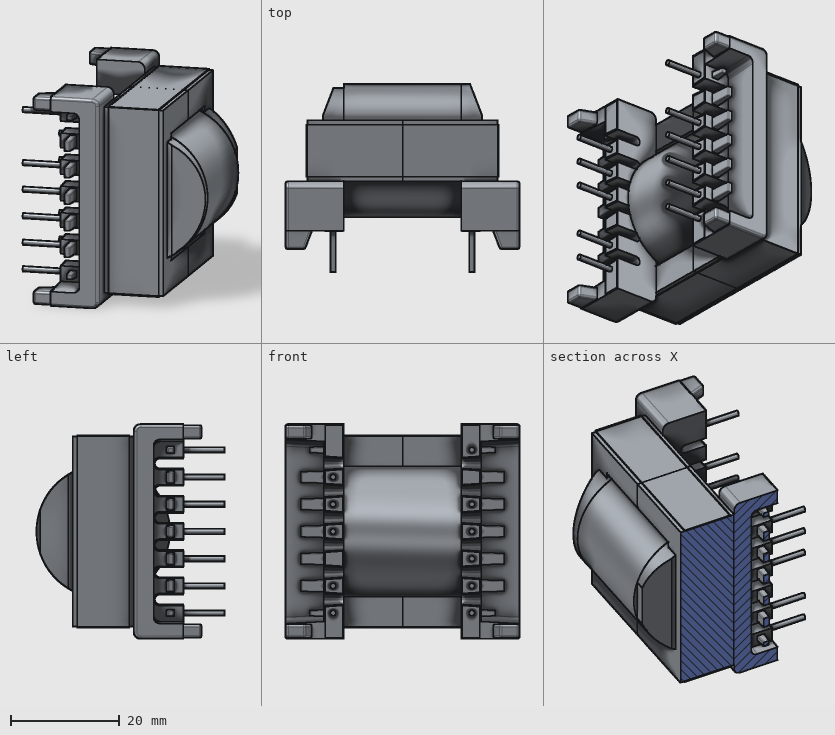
import cadquery as cq
import math


core_half_length = 17.55
core_half_depth = 5.6
core_window_depth = 11.85
core_window_radius = 13.25

tape_thickness = 0.17
tape_half_width = 4.8

winding_radius = 12.3
winding_half_length = 10.8
tube_radius = 6.48

crown_outer_x = 14.7
crown_slope_y = 6.48
crown_tip_x = 12.45
left_crown_height = 11.57

rail_half_width = 21.6
rail_half_height = 39.6 / 2
rail_tip_y = -14.75
rail_corner_radius = 1.3
rail_edge_radius = 0.55
pocket_floor_y = -9.3
pocket_half_height = 16.95
pocket_inner_half_height = 16.6
pocket_corner_radius = 1.2
terminal_outer_x = 14.45

pitch = 5.0
end_index = 3
terminal_indices = range(-end_index, end_index + 1)
slot_width = 2.25
slot_taper = 3.5
pad_height = 0.1
pad_inset = 0.2

guide_y = -12.4
guide_base_depth = 1.45
guide_tip_depth = 1.05
guide_taper = 0.25
guide_edge_radius = 0.17
long_guide_length = 4.27
long_guide_height = 2.25
short_guide_length = 2.65
short_guide_height = 1.25

foot_tip_y = -18.15
foot_root_x = 16.65
foot_outer_x = 21.55
foot_tip_x = 17.95
foot_top_z = 19.6
foot_bottom_z = 17.05
foot_edge_radius = 0.47

pin_radius = 0.5
pin_x = 12.8
overall_depth = 34.67
pin_tip_y = winding_radius - overall_depth
left_pin_indices = (-3, -2, 0, 1, 2)
right_pin_indices = (-3, -2, -1, 0, 1, 3)


def box(x_range, y_range, z_range):
    """Box between two limits along each axis."""
    sizes = [high - low for low, high in (x_range, y_range, z_range)]
    corner = (x_range[0], y_range[0], z_range[0])
    return cq.Workplane("XY").box(*sizes, centered=False).translate(corner)


def disc(radius, x_start, x_end):
    """Round bar along the winding axis."""
    return cq.Workplane("YZ", origin=(x_start, 0, 0)).circle(radius).extrude(x_end - x_start)


def prism_along_y(points, y_start, y_end):
    """Prism with an XZ outline, from y_start down to y_end."""
    return cq.Workplane("XZ", origin=(0, y_start, 0)).polyline(points).close().extrude(y_start - y_end)


def mirror_x(shape):
    return shape.mirror("YZ")


def make_core_half():
    """Right E half: back, two outer legs and a round centre post."""
    half = box(
        (0, core_half_length),
        (-core_half_depth, core_half_depth),
        (-core_half_length, core_half_length),
    )
    window = disc(core_window_radius, 0, core_window_depth).cut(disc(core_half_depth, 0, core_window_depth))
    return half.cut(window)


def make_tape():
    """Closed band around the four outer faces of the core."""
    outer = 2 * (core_half_length + tape_thickness)
    inner = 2 * core_half_length
    return (
        cq.Workplane("XZ", origin=(0, tape_half_width, 0))
        .rect(outer, outer)
        .rect(inner, inner)
        .extrude(2 * tape_half_width)
    )


def make_winding():
    return disc(winding_radius, -winding_half_length, winding_half_length).cut(
        disc(tube_radius, -winding_half_length, winding_half_length)
    )


def make_flange(crown_height):
    """Disc in the core window, with a sloped crown overhanging the core's rear face."""
    window_part = disc(winding_radius, winding_half_length, core_window_depth).intersect(
        box(
            (winding_half_length, core_window_depth),
            (-core_half_depth, crown_height),
            (-winding_radius, winding_radius),
        )
    )
    slope = (crown_outer_x - crown_tip_x) / (winding_radius - crown_slope_y)
    crown_top_x = crown_outer_x - slope * (crown_height - crown_slope_y)
    crown_profile = (
        cq.Workplane("XY", origin=(0, 0, -winding_radius))
        .polyline([
            (winding_half_length, core_half_depth),
            (crown_outer_x, core_half_depth),
            (crown_outer_x, crown_slope_y),
            (crown_top_x, crown_height),
            (winding_half_length, crown_height),
        ])
        .close()
        .extrude(2 * winding_radius)
    )
    crown = crown_profile.intersect(disc(winding_radius, winding_half_length, crown_outer_x))
    return window_part.union(crown)


def make_rail_block():
    """Solid block with rounded rear corners and a rounded outer edge."""
    block = box(
        (winding_half_length, rail_half_width),
        (rail_tip_y, -core_half_depth),
        (-rail_half_height, rail_half_height),
    )
    block = block.edges("|X and >Y").fillet(rail_corner_radius)
    outer_edges = block.faces(">X").edges("not(<Y)")
    return block.newObject(outer_edges.vals()).fillet(rail_edge_radius)


def make_pocket():
    """Recess in the outer side of the rail, tapering in towards the terminal row."""
    pocket = prism_along_y(
        [
            (terminal_outer_x, -pocket_inner_half_height),
            (rail_half_width, -pocket_half_height),
            (rail_half_width, pocket_half_height),
            (terminal_outer_x, pocket_inner_half_height),
        ],
        pocket_floor_y,
        rail_tip_y,
    )
    long_floor_edges = pocket.faces(">Y").edges("not(|Z)")
    return pocket.newObject(long_floor_edges.vals()).fillet(pocket_corner_radius)


def make_slot(z):
    """Round-ended wire slot between two terminals, narrowing towards the winding."""
    length = 2 * (pocket_floor_y - rail_tip_y)
    return (
        cq.Workplane("YZ", origin=(terminal_outer_x, rail_tip_y, z))
        .slot2D(length, slot_width)
        .extrude(winding_half_length - terminal_outer_x, taper=slot_taper)
    )


def make_pad(index):
    """Thin raised pad on the tip of a terminal; the end pads reach along the rail end."""
    taper_shift = (terminal_outer_x - winding_half_length) * math.tan(math.radians(slot_taper))
    outer_half = (pitch - slot_width) / 2 - pad_inset
    inner_half = outer_half + taper_shift
    x_in = winding_half_length + pad_inset
    x_out = terminal_outer_x - pad_inset
    z = abs(index) * pitch
    inner_top = z + inner_half
    outer_top = z + outer_half
    if abs(index) == end_index:
        inner_top = rail_half_height - pad_inset
        outer_top = inner_top
    pad = prism_along_y(
        [(x_in, z - inner_half), (x_out, z - outer_half), (x_out, outer_top), (x_in, inner_top)],
        rail_tip_y,
        rail_tip_y - pad_height,
    )
    return pad if index >= 0 else pad.mirror("XY")


def make_guide(index):
    """Tapered wire guide, rounded along its sides and tip."""
    at_end = abs(index) == end_index
    length = short_guide_length if at_end else long_guide_length
    height = short_guide_height if at_end else long_guide_height
    guide = (
        cq.Workplane("YZ", origin=(terminal_outer_x, guide_y, index * pitch))
        .rect(guide_base_depth, height)
        .workplane(offset=length)
        .rect(guide_tip_depth, height - guide_taper)
        .loft(ruled=True)
    )
    return guide.edges("not(<X)").fillet(guide_edge_radius)


def make_foot():
    """Foot at the upper end of the rail, sloped on its inner side and rounded all round."""
    foot = (
        cq.Workplane("XY", origin=(0, 0, foot_bottom_z))
        .polyline([
            (foot_root_x, rail_tip_y),
            (foot_outer_x, rail_tip_y),
            (foot_outer_x, foot_tip_y),
            (foot_tip_x, foot_tip_y),
        ])
        .close()
        .extrude(foot_top_z - foot_bottom_z)
    )
    return foot.edges("not(>Y)").fillet(foot_edge_radius)


def make_pin(index):
    return (
        cq.Workplane("XZ", origin=(pin_x, rail_tip_y, index * pitch))
        .circle(pin_radius)
        .extrude(rail_tip_y - pin_tip_y)
    )


def make_bobbin_side(crown_height, pin_indices):
    """Right-hand flange and rail with terminals, guides, feet and moulded-in pins."""
    rail = make_rail_block().cut(make_pocket())
    for lower_index in range(-end_index, end_index):
        rail = rail.cut(make_slot((lower_index + 0.5) * pitch))
    for index in terminal_indices:
        rail = rail.union(make_pad(index)).union(make_guide(index))
    foot = make_foot()
    rail = rail.union(foot).union(foot.mirror("XY"))
    for index in pin_indices:
        rail = rail.union(make_pin(index))
    return rail.union(make_flange(crown_height))


def make_bobbin():
    """Tube with a flange and rail at each end, bored for the centre posts."""
    left_side = mirror_x(make_bobbin_side(left_crown_height, left_pin_indices))
    right_side = make_bobbin_side(winding_radius, right_pin_indices)
    tube = disc(tube_radius, -core_window_depth, core_window_depth)
    bore = disc(core_half_depth, -core_window_depth, core_window_depth)
    return tube.union(left_side).union(right_side).cut(bore)


right_core = make_core_half()
left_core = mirror_x(right_core)
tape = make_tape()
winding = make_winding()
bobbin = make_bobbin()

result = cq.Compound.makeCompound([
    right_core.val(),
    left_core.val(),
    tape.val(),
    winding.val(),
    bobbin.val(),
])